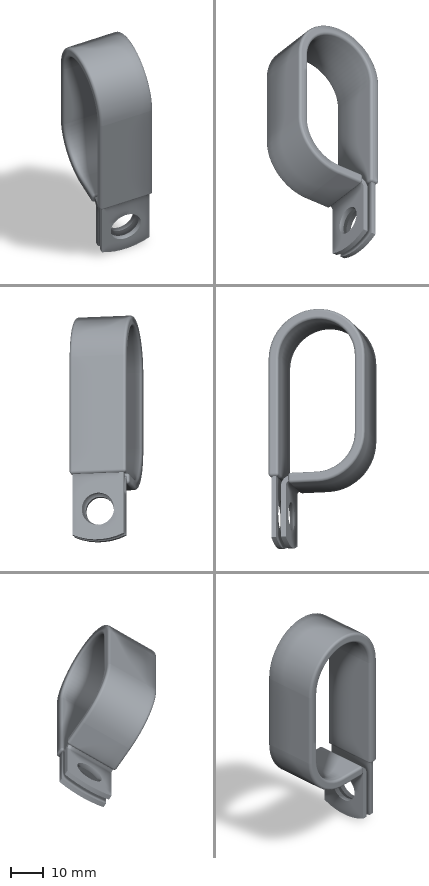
import cadquery as cq

strap_thickness = 1.519
strap_width = 15.875
bend_inner_radius = strap_thickness
bend_outer_radius = bend_inner_radius + strap_thickness
tab_gap = strap_thickness
tip_radius = 19.05
bent_tab_hole_diameter = 8.731
straight_tab_hole_diameter = 10.0
hole_to_tip = 9.525
overall_height = 72.07

cushion_wall = 0.79375
cushion_width = strap_width + 2 * cushion_wall
loop_inner_radius = 11.90625
loop_outer_radius = loop_inner_radius + strap_thickness + 2 * cushion_wall
half_straight = 11.86
lower_end_x = 8.9

strap_inner_radius = loop_inner_radius + cushion_wall
strap_outer_radius = strap_inner_radius + strap_thickness

flange_top_z = -half_straight - strap_inner_radius
flange_bottom_z = -half_straight - strap_outer_radius
cushion_leg_end_z = flange_top_z
tip_z = half_straight + loop_outer_radius - overall_height
hole_z = tip_z + hole_to_tip

bent_tab_outer_x = strap_inner_radius - tab_gap
bent_tab_inner_x = bent_tab_outer_x - strap_thickness
bend_start_x = bent_tab_outer_x - bend_outer_radius
bend_end_z = flange_top_z - bend_outer_radius


def make_cushion():
    """Open J-shaped loop with every outer edge rounded down to the strap section."""
    outer = loop_outer_radius
    inner = loop_inner_radius
    loop = (
        cq.Workplane("XZ")
        .moveTo(outer, cushion_leg_end_z)
        .lineTo(outer, half_straight)
        .threePointArc((0, half_straight + outer), (-outer, half_straight))
        .lineTo(-outer, -half_straight)
        .radiusArc((0, -half_straight - outer), -outer)
        .lineTo(lower_end_x, -half_straight - outer)
        .lineTo(lower_end_x, -half_straight - inner)
        .lineTo(0, -half_straight - inner)
        .radiusArc((-inner, -half_straight), inner)
        .lineTo(-inner, half_straight)
        .threePointArc((0, half_straight + inner), (inner, half_straight))
        .lineTo(inner, cushion_leg_end_z)
        .close()
        .extrude(cushion_width / 2, both=True)
    )
    side_faces = loop.faces("|Y")
    leg_end = loop.faces(cq.selectors.NearestToPointSelector(
        ((outer + inner) / 2, 0, cushion_leg_end_z)))
    flange_end = loop.faces(cq.selectors.NearestToPointSelector(
        (lower_end_x, 0, -half_straight - (outer + inner) / 2)))
    rounded_edges = side_faces.edges().add(leg_end.edges("|Y")).add(flange_end.edges("|Y"))
    return rounded_edges.fillet(cushion_wall)


def make_bent_tab():
    """Bottom flange of the strap, turned down into the left tab."""
    return (
        cq.Workplane("XZ")
        .moveTo(0, flange_top_z)
        .lineTo(bend_start_x, flange_top_z)
        .radiusArc((bent_tab_outer_x, bend_end_z), bend_outer_radius)
        .lineTo(bent_tab_outer_x, tip_z)
        .lineTo(bent_tab_inner_x, tip_z)
        .lineTo(bent_tab_inner_x, bend_end_z)
        .radiusArc((bend_start_x, flange_bottom_z), -bend_inner_radius)
        .lineTo(0, flange_bottom_z)
        .close()
        .extrude(strap_width / 2, both=True)
    )


def make_straight_tab():
    """Strap continuing straight down from the right leg of the loop."""
    top_z = cushion_leg_end_z
    return (
        cq.Workplane("XZ")
        .moveTo(strap_inner_radius, top_z)
        .lineTo(strap_outer_radius, top_z)
        .lineTo(strap_outer_radius, tip_z)
        .lineTo(strap_inner_radius, tip_z)
        .close()
        .extrude(strap_width / 2, both=True)
    )


def make_tab_blank():
    """Solid running along X whose YZ outline is the strap width with a curved tip."""
    half_width = strap_width / 2
    tip_rise = tip_radius - (tip_radius**2 - half_width**2) ** 0.5
    return (
        cq.Workplane("YZ")
        .moveTo(-half_width, 0)
        .lineTo(-half_width, tip_z + tip_rise)
        .threePointArc((0, tip_z), (half_width, tip_z + tip_rise))
        .lineTo(half_width, 0)
        .close()
        .extrude(loop_outer_radius)
    )


def make_bolt_hole(diameter):
    """Cylinder along X, long enough to pierce either tab."""
    return (
        cq.Workplane("YZ")
        .center(0, hole_z)
        .circle(diameter / 2)
        .extrude(loop_outer_radius)
    )


def finish_tab(tab, hole_diameter):
    """Round the tip of a tab and pierce its bolt hole."""
    return tab.intersect(make_tab_blank()).cut(make_bolt_hole(hole_diameter))


bent_tab = finish_tab(make_bent_tab(), bent_tab_hole_diameter)
straight_tab = finish_tab(make_straight_tab(), straight_tab_hole_diameter)
result = make_cushion().union(bent_tab).union(straight_tab)